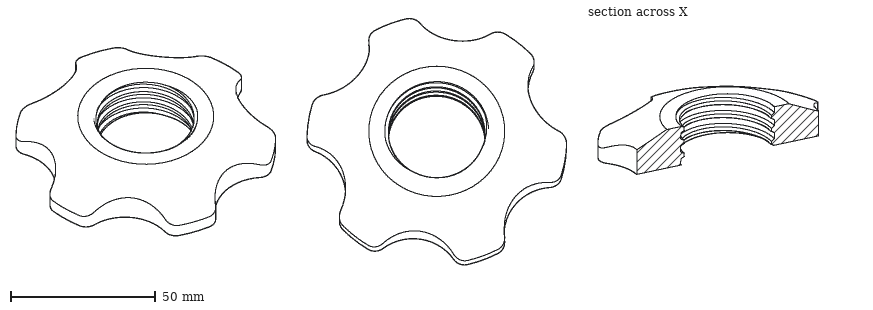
import cadquery as cq
import math

rim_radius = 45.0
rim_height = 5.0
total_height = 15.0
cone_angle = 25.0
top_radius = rim_radius - (total_height - rim_height) / math.tan(math.radians(cone_angle))

lobe_count = 6
scallop_radius = 17.0
scallop_floor_radius = 35.0
scallop_center_radius = scallop_floor_radius + scallop_radius
lobe_corner_radius = 4.5

bore_radius = 16.75
thread_major_radius = 18.0
thread_pitch = 5.0
thread_crest_width = 1.35
thread_flank_angle = 30.0
groove_overlap = 0.4


def make_body():
    """Revolve the rim and cone as one solid."""
    return (
        cq.Workplane("XZ")
        .moveTo(0, 0)
        .lineTo(rim_radius, 0)
        .lineTo(rim_radius, rim_height)
        .lineTo(top_radius, total_height)
        .lineTo(0, total_height)
        .close()
        .revolve(360, (0, 0, 0), (0, 1, 0))
    )


def make_lobed_prism():
    """Disc with evenly spaced scallops and rounded lobe corners."""
    prism = cq.Workplane("XY").circle(rim_radius).extrude(total_height)
    first_scallop_angle = 180.0 / lobe_count
    scallops = (
        cq.Workplane("XY")
        .polarArray(scallop_center_radius, first_scallop_angle, 360, lobe_count)
        .circle(scallop_radius)
        .extrude(total_height)
    )
    prism = prism.cut(scallops)
    seam = cq.selectors.NearestToPointSelector((rim_radius, 0, total_height / 2))
    upright = cq.selectors.ParallelDirSelector(cq.Vector(0, 0, 1))
    corners = cq.selectors.SubtractSelector(upright, seam)
    return prism.edges(corners).fillet(lobe_corner_radius)


def make_thread_groove():
    """Helical cutter whose groove is centred on +X at the bottom and top faces."""
    flank_slope = math.tan(math.radians(thread_flank_angle))
    opening_half = (thread_pitch - thread_crest_width) / 2
    root_half = opening_half - (thread_major_radius - bore_radius) * flank_slope
    inner_radius = bore_radius - groove_overlap
    inner_half = opening_half + groove_overlap * flank_slope

    start_height = -thread_pitch
    helix_height = total_height + 2 * thread_pitch
    path = cq.Wire.makeHelix(thread_pitch, helix_height, bore_radius, cq.Vector(0, 0, start_height))
    return (
        cq.Workplane("XZ")
        .polyline(
            [
                (inner_radius, start_height - inner_half),
                (thread_major_radius, start_height - root_half),
                (thread_major_radius, start_height + root_half),
                (inner_radius, start_height + inner_half),
            ]
        )
        .close()
        .sweep(cq.Workplane(path), isFrenet=True)
    )


bore = cq.Workplane("XY").circle(bore_radius).extrude(total_height)
result = make_body().intersect(make_lobed_prism()).cut(make_thread_groove()).cut(bore)